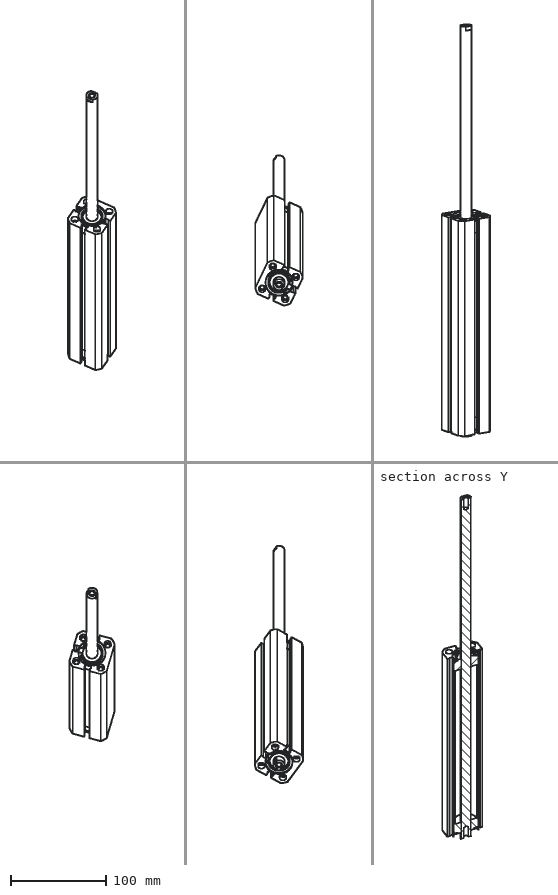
import cadquery as cq
import math

TOTAL_LENGTH = 445.0
HOUSING_BOTTOM = 6.0
HOUSING_TOP = 239.0
HOUSING_LENGTH = HOUSING_TOP - HOUSING_BOTTOM

HOUSING_WIDTH = 41.0
CORNER_CIRCLE_DIAMETER = 51.0
SLOT_MOUTH_HALF_WIDTH = 2.75
SLOT_LIP_THICKNESS = 2.5
SLOT_CAVITY_HALF_WIDTH = 3.35
SLOT_FLOOR_DISTANCE = 14.5
SLOT_ANGLES = (0, 180, 270)

MOUNT_HOLE_OFFSET = 13.5
MOUNT_HOLE_RADIUS = 2.2
MOUNT_COUNTERBORE_RADIUS = 3.5
MOUNT_COUNTERBORE_DEPTH = 6.5

BORE_RADIUS = 12.5
SEAT_RADIUS = 14.2
RING_INSET = 2.2
RING_THICKNESS = 1.5
SEAT_DEPTH = 16.5
COLLAR_NOSE_RADIUS = 10.0

RING_INNER_RADIUS = 11.5
RING_GAP_WIDTH = 5.5
LUG_RADIUS = 2.0
LUG_HOLE_RADIUS = 1.5
LUG_ANGLE_FROM_GAP = 36
LUG_CENTRE_RADIUS = COLLAR_NOSE_RADIUS + LUG_RADIUS

ROD_DIAMETER = 12.0
ROD_RADIUS = ROD_DIAMETER / 2
FLATS_WIDTH = 10.0
FLATS_LENGTH = 4.0
THREAD_RADIUS = 2.45
THREAD_DEPTH = 13.5
COUNTERSINK_RADIUS = 3.35
COUNTERSINK_DEPTH = COUNTERSINK_RADIUS - THREAD_RADIUS
DRILL_TIP_DEPTH = THREAD_RADIUS / math.tan(math.radians(59))


def cylinder(radius, bottom, top):
    """Cylinder on the Z axis between two heights."""
    return cq.Workplane("XY").workplane(offset=bottom).circle(radius).extrude(top - bottom)


def mirror_to_other_end(body):
    """Mirror a body about the middle of the housing so that it serves the other end."""
    middle = (HOUSING_BOTTOM + HOUSING_TOP) / 2
    return body.mirror("XY", (0, 0, middle))


def slot_cutter(angle):
    """Full-length T-slot that opens in the direction of the angle about Z."""
    face = HOUSING_WIDTH / 2
    lip = face - SLOT_LIP_THICKNESS
    mouth = SLOT_MOUTH_HALF_WIDTH
    cavity = SLOT_CAVITY_HALF_WIDTH
    outline = [
        (face, -mouth),
        (lip, -mouth),
        (lip, -cavity),
        (SLOT_FLOOR_DISTANCE, -cavity),
        (SLOT_FLOOR_DISTANCE, cavity),
        (lip, cavity),
        (lip, mouth),
        (face, mouth),
    ]
    slot = cq.Workplane("XY").workplane(offset=HOUSING_BOTTOM).polyline(outline).close()
    return slot.extrude(HOUSING_LENGTH).rotate((0, 0, 0), (0, 0, 1), angle)


def mounting_hole_cutter():
    """Through hole on the Z axis, counterbored from both ends."""
    upper = cylinder(MOUNT_COUNTERBORE_RADIUS, HOUSING_TOP - MOUNT_COUNTERBORE_DEPTH, HOUSING_TOP)
    hole = cylinder(MOUNT_HOLE_RADIUS, HOUSING_BOTTOM, HOUSING_TOP)
    return hole.union(upper).union(mirror_to_other_end(upper))


def make_housing():
    """Square extruded tube with turned corners, T-slots, corner holes and a stepped bore."""
    square = cq.Workplane("XY").workplane(offset=HOUSING_BOTTOM).rect(HOUSING_WIDTH, HOUSING_WIDTH)
    body = square.extrude(HOUSING_LENGTH)
    body = body.intersect(cylinder(CORNER_CIRCLE_DIAMETER / 2, HOUSING_BOTTOM, HOUSING_TOP))

    for angle in SLOT_ANGLES:
        body = body.cut(slot_cutter(angle))

    hole = mounting_hole_cutter()
    for side_x in (-1, 1):
        for side_y in (-1, 1):
            body = body.cut(hole.translate((side_x * MOUNT_HOLE_OFFSET, side_y * MOUNT_HOLE_OFFSET, 0)))

    seat = cylinder(SEAT_RADIUS, HOUSING_TOP - SEAT_DEPTH, HOUSING_TOP)
    body = body.cut(cylinder(BORE_RADIUS, HOUSING_BOTTOM, HOUSING_TOP))
    return body.cut(seat).cut(mirror_to_other_end(seat))


def make_upper_collar():
    """Rod guide whose flange lies under the retaining ring and whose nose fills the ring to its top."""
    bottom = HOUSING_TOP - SEAT_DEPTH
    nose_top = HOUSING_TOP - RING_INSET
    flange = cylinder(SEAT_RADIUS, bottom, nose_top - RING_THICKNESS)
    nose = cylinder(COLLAR_NOSE_RADIUS, bottom, nose_top)
    return flange.union(nose).cut(cylinder(ROD_RADIUS, bottom, nose_top))


def make_upper_ring():
    """Open retaining ring on top of the collar."""
    top = HOUSING_TOP - RING_INSET
    bottom = top - RING_THICKNESS
    ring = cylinder(SEAT_RADIUS, bottom, top).cut(cylinder(RING_INNER_RADIUS, bottom, top))

    lug = cylinder(LUG_RADIUS, bottom, top)
    lug_hole = cylinder(LUG_HOLE_RADIUS, bottom, top)
    lug_angle = math.radians(LUG_ANGLE_FROM_GAP)
    lug_places = [
        (side * LUG_CENTRE_RADIUS * math.sin(lug_angle), -LUG_CENTRE_RADIUS * math.cos(lug_angle), 0)
        for side in (-1, 1)
    ]
    for place in lug_places:
        ring = ring.union(lug.translate(place))
    for place in lug_places:
        ring = ring.cut(lug_hole.translate(place))

    gap = cq.Workplane("XY").box(RING_GAP_WIDTH, SEAT_RADIUS, RING_THICKNESS)
    return ring.cut(gap.translate((0, -SEAT_RADIUS, (bottom + top) / 2)))


def flats_cutter(bottom):
    """Material outside a pair of wrench flats that face -Y and +Y."""
    blank = cq.Workplane("XY").box(ROD_DIAMETER, ROD_DIAMETER, FLATS_LENGTH)
    kept = cq.Workplane("XY").box(ROD_DIAMETER, FLATS_WIDTH, FLATS_LENGTH)
    return blank.cut(kept).translate((0, 0, bottom + FLATS_LENGTH / 2))


def threaded_hole_cutter():
    """Countersunk blind hole with a drill-point bottom, in the top end of the rod."""
    hole_bottom = TOTAL_LENGTH - THREAD_DEPTH
    half_profile = [
        (0, TOTAL_LENGTH),
        (COUNTERSINK_RADIUS, TOTAL_LENGTH),
        (THREAD_RADIUS, TOTAL_LENGTH - COUNTERSINK_DEPTH),
        (THREAD_RADIUS, hole_bottom),
        (0, hole_bottom - DRILL_TIP_DEPTH),
    ]
    return cq.Workplane("XZ").polyline(half_profile).close().revolve(360, (0, 0, 0), (0, 1, 0))


def make_rod():
    """Through rod with wrench flats and a threaded hole at both ends."""
    rod = cylinder(ROD_RADIUS, 0, TOTAL_LENGTH)
    rod = rod.cut(flats_cutter(0)).cut(flats_cutter(TOTAL_LENGTH - FLATS_LENGTH))
    hole = threaded_hole_cutter()
    return rod.cut(hole).cut(hole.mirror("XY", (0, 0, TOTAL_LENGTH / 2)))


housing = make_housing()
rod = make_rod()
upper_collar = make_upper_collar()
lower_collar = mirror_to_other_end(upper_collar)
upper_ring = make_upper_ring()
lower_ring = mirror_to_other_end(upper_ring)

bodies = [housing, rod, upper_collar, lower_collar, upper_ring, lower_ring]
result = cq.Compound.makeCompound([body.val() for body in bodies])